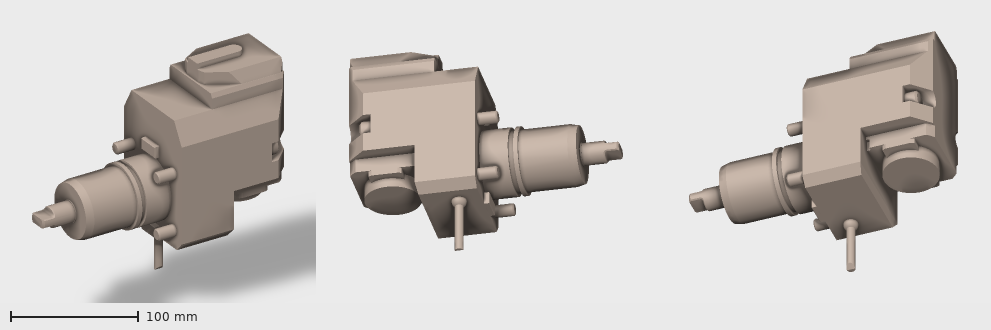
import cadquery as cq
import math


HALF_WIDTH = 42.0
BACK_Y = 104.2
TOP_Z = 71.9
SHOULDER_Z = 52.85
TOP_HALF_WIDTH = 31.0
BOTTOM_Z = -40.5
BOTTOM_CHAMFER_X = 6.8
BOTTOM_CHAMFER_Z = 7.8
BACK_CHAMFER = 14.2
FRONT_PART_DEPTH = 48.5
REAR_BOTTOM_Z = 1.0
BOTTOM_RELIEF = 1.6

SLAB_HALF_WIDTH = 29.6
SLAB_END_RADIUS = 37.8
SLAB_BOTTOM_Z = -10.5
SLAB_NOTCH_LENGTH = 3.0
SLAB_NOTCH_TOP_Z = -1.9
SLAB_NOTCH_DEPTH = 3.0

SPINDLE_Y = 75.3
NOSE_DIAMETER = 45.0
NOSE_BOTTOM_Z = -22.5
LUG_BOTTOM_Z = -15.0
LUG_RADIUS = 31.4
LUG_HALF_LENGTH = 13.4

PLATE_FRONT_Y = 35.2
PLATE_EDGE_Z = 81.5
PLATE_TOP_HALF_WIDTH = 29.1
PLATE_TOP_Z = 85.3
BLOCK_TOP_Z = 96.2
BLOCK_BOTTOM_HALF_WIDTH = 28.7
BLOCK_TOP_HALF_WIDTH = 23.6
BLOCK_FRONT_Y = 37.1
BLOCK_BACK_HALF_WIDTH = 25.3
BLOCK_NOSE_HALF_WIDTH = 8.5
BLOCK_CORNER_X = 14.0
BLOCK_CORNER_Y = 38.9
BLOCK_FLARE_ANGLE = 60.0
RIB_WIDTH = 13.0
RIB_TOP_Z = 101.1

SHANK_DIAMETER = 49.7
COLLAR_DIAMETER = 55.0
RELIEF_DIAMETER = 54.6
RELIEF_END = 2.2
COLLAR_END = 23.0
RING_START = 27.3
RING_END = 30.8
TAPER_START = 70.2
SHANK_END = 76.8
SHANK_END_DIAMETER = 46.4

TANG_DIAMETER = 18.0
TANG_EDGE_CHAMFER = 0.8
HUB_DIAMETER = 19.0
HUB_END = 77.8
TANG_SHOULDER = 96.2
TANG_TIP = 107.6
TANG_THICKNESS = 7.5
TANG_FILLET = 2.0
TANG_TIP_CHAMFER = 1.6

SCREW_X = 30.0
SCREW_Z = 25.0
SCREW_DIAMETER = 10.0
SCREW_LENGTH = 16.0
SCREW_CHAMFER = 1.0
HEAD_DIAMETER = 16.0
HEAD_LENGTH = 10.0
HEAD_CHAMFER = 1.5
POCKET_DIAMETER = 16.5
POCKET_FLOOR_Y = 84.0

KEY_WIDTH = 19.8
KEY_HEIGHT = 10.0
KEY_LENGTH = 4.5
KEY_CENTER_Z = 35.25
KEY_CHAMFER = 0.6

PIPE_X = -19.6
PIPE_Y = 17.7
PIPE_DIAMETER = 7.0
PIPE_BALL_DIAMETER = 12.0
PIPE_BALL_Z = -41.4
PIPE_END_Z = -85.9
PIPE_BEVEL = 3.8


def box(x_range, y_range, z_range):
    """Axis-aligned box between the given limits."""
    (x0, x1), (y0, y1), (z0, z1) = x_range, y_range, z_range
    return cq.Workplane("XY").box(x1 - x0, y1 - y0, z1 - z0, centered=False).translate((x0, y0, z0))


def rod(x, z, start_y, end_y, diameter):
    """Cylinder along Y from start_y to the larger end_y."""
    plane = cq.Plane(origin=(x, start_y, z), xDir=(-1, 0, 0), normal=(0, 1, 0))
    return cq.Workplane(plane).circle(diameter / 2).extrude(end_y - start_y)


def disc(radius, bottom_z, top_z):
    """Upright disc on the output spindle axis."""
    body = cq.Workplane("XY").center(0, SPINDLE_Y).circle(radius).extrude(top_z - bottom_z)
    return body.translate((0, 0, bottom_z))


def mirrored_outline(plane, right_side):
    """Closed outline symmetric about X = 0, from the points of its +X side."""
    left_side = [(-x, y) for x, y in reversed(right_side)]
    return cq.Workplane(plane).polyline(right_side + left_side).close()


def plan_envelope():
    """Plan shape shared by the housing, slab and head: back corners cut at 45 degrees."""
    outline = [
        (HALF_WIDTH, 0),
        (HALF_WIDTH, BACK_Y - BACK_CHAMFER),
        (HALF_WIDTH - BACK_CHAMFER, BACK_Y),
    ]
    return mirrored_outline("XY", outline).extrude(RIB_TOP_Z - BOTTOM_Z).translate((0, 0, BOTTOM_Z))


def housing():
    """Main body: a chamfered section along Y, stepped up under its rear part."""
    side_bottom_z = BOTTOM_Z + BOTTOM_CHAMFER_Z
    section = [
        (HALF_WIDTH - BOTTOM_CHAMFER_X, BOTTOM_Z),
        (HALF_WIDTH, side_bottom_z),
        (HALF_WIDTH, SHOULDER_Z),
        (TOP_HALF_WIDTH, TOP_Z),
    ]
    body = mirrored_outline("XZ", section).extrude(-BACK_Y)
    side_outline = [
        (0, BOTTOM_Z),
        (FRONT_PART_DEPTH - BOTTOM_RELIEF, BOTTOM_Z),
        (FRONT_PART_DEPTH, side_bottom_z),
        (FRONT_PART_DEPTH, REAR_BOTTOM_Z),
        (BACK_Y, REAR_BOTTOM_Z),
        (BACK_Y, TOP_Z),
        (0, TOP_Z),
    ]
    return body.intersect(cq.Workplane("YZ").polyline(side_outline).close().extrude(HALF_WIDTH, both=True))


def slab():
    """Plate under the housing, its back rounded about the spindle axis and its front corners notched."""
    x_range = (-SLAB_HALF_WIDTH, SLAB_HALF_WIDTH)
    z_range = (SLAB_BOTTOM_Z, REAR_BOTTOM_Z)
    body = box(x_range, (FRONT_PART_DEPTH, BACK_Y), z_range)
    end = disc(SLAB_END_RADIUS, SLAB_BOTTOM_Z, REAR_BOTTOM_Z)
    front = box(x_range, (FRONT_PART_DEPTH, SPINDLE_Y), z_range)
    body = body.intersect(end.union(front))
    inner = SLAB_HALF_WIDTH - SLAB_NOTCH_DEPTH
    notch_y = (FRONT_PART_DEPTH, FRONT_PART_DEPTH + SLAB_NOTCH_LENGTH)
    for notch_x in ((-SLAB_HALF_WIDTH, -inner), (inner, SLAB_HALF_WIDTH)):
        body = body.cut(box(notch_x, notch_y, (SLAB_BOTTOM_Z, SLAB_NOTCH_TOP_Z)))
    return body


def nose():
    """Round output nose with a lug on each side, flush with the sides of the slab."""
    bar = box(
        (-SLAB_HALF_WIDTH, SLAB_HALF_WIDTH),
        (SPINDLE_Y - LUG_HALF_LENGTH, SPINDLE_Y + LUG_HALF_LENGTH),
        (LUG_BOTTOM_Z, SLAB_BOTTOM_Z),
    )
    lugs = disc(LUG_RADIUS, LUG_BOTTOM_Z, SLAB_BOTTOM_Z).intersect(bar)
    return disc(NOSE_DIAMETER / 2, NOSE_BOTTOM_Z, SLAB_BOTTOM_Z).union(lugs)


def head():
    """Plate and slightly inset tapered block, with a rib on top."""
    plate_section = [
        (TOP_HALF_WIDTH, TOP_Z),
        (TOP_HALF_WIDTH, PLATE_EDGE_Z),
        (PLATE_TOP_HALF_WIDTH, PLATE_TOP_Z),
    ]
    plate = mirrored_outline("XZ", plate_section).extrude(PLATE_FRONT_Y - BACK_Y)
    plate = plate.translate((0, PLATE_FRONT_Y, 0))

    block_section = [(BLOCK_BOTTOM_HALF_WIDTH, PLATE_TOP_Z), (BLOCK_TOP_HALF_WIDTH, BLOCK_TOP_Z)]
    block = mirrored_outline("XZ", block_section).extrude(-BACK_Y)
    flare_length = (TOP_HALF_WIDTH - BLOCK_CORNER_X) * math.tan(math.radians(BLOCK_FLARE_ANGLE))
    back_cut = TOP_HALF_WIDTH - BLOCK_BACK_HALF_WIDTH
    block_plan = [
        (BLOCK_NOSE_HALF_WIDTH, BLOCK_FRONT_Y),
        (BLOCK_CORNER_X, BLOCK_CORNER_Y),
        (TOP_HALF_WIDTH, BLOCK_CORNER_Y + flare_length),
        (TOP_HALF_WIDTH, BACK_Y - back_cut),
        (BLOCK_BACK_HALF_WIDTH, BACK_Y),
    ]
    plan = mirrored_outline("XY", block_plan).extrude(BLOCK_TOP_Z - PLATE_TOP_Z)
    block = block.intersect(plan.translate((0, 0, PLATE_TOP_Z)))

    rib_z = (BLOCK_TOP_Z, RIB_TOP_Z)
    rib = box((-RIB_WIDTH / 2, RIB_WIDTH / 2), (BLOCK_FRONT_Y, SPINDLE_Y), rib_z)
    rib_end = disc(RIB_WIDTH / 2, BLOCK_TOP_Z, RIB_TOP_Z)
    return plate.union(block).union(rib).union(rib_end)


def shank():
    """Turned shank with a collar and a separate ring, tapered at its end."""
    collar_radius = COLLAR_DIAMETER / 2
    radius = SHANK_DIAMETER / 2
    profile = [
        (0, 0),
        (RELIEF_DIAMETER / 2, 0),
        (RELIEF_DIAMETER / 2, -RELIEF_END),
        (collar_radius, -RELIEF_END),
        (collar_radius, -COLLAR_END),
        (radius, -COLLAR_END),
        (radius, -RING_START),
        (collar_radius, -RING_START),
        (collar_radius, -RING_END),
        (radius, -RING_END),
        (radius, -TAPER_START),
        (SHANK_END_DIAMETER / 2, -SHANK_END),
        (0, -SHANK_END),
    ]
    return cq.Workplane("XY").polyline(profile).close().revolve(360, (0, 0), (0, 1))


def tang():
    """Drive shaft on a short hub, ending in a flat tongue with filleted roots and chamfered edges."""
    radius = TANG_DIAMETER / 2
    half = TANG_THICKNESS / 2
    body = rod(0, 0, -TANG_TIP, -HUB_END, TANG_DIAMETER).faces("<Y").chamfer(TANG_TIP_CHAMFER)
    body = body.union(rod(0, 0, -HUB_END, -SHANK_END, HUB_DIAMETER))
    flat = (
        cq.Workplane("YZ")
        .moveTo(-TANG_TIP, half)
        .lineTo(-TANG_SHOULDER - TANG_FILLET, half)
        .radiusArc((-TANG_SHOULDER, half + TANG_FILLET), -TANG_FILLET)
        .lineTo(-TANG_SHOULDER, radius)
        .lineTo(-TANG_TIP, radius)
        .close()
        .extrude(radius, both=True)
    )
    body = body.cut(flat).cut(flat.mirror("XY"))
    long_edges = cq.selectors.BoxSelector(
        (-radius, -TANG_TIP, -half - TANG_EDGE_CHAMFER),
        (radius, -TANG_SHOULDER - TANG_FILLET, half + TANG_EDGE_CHAMFER),
    )
    return body.edges("|Y").edges(long_edges).chamfer(TANG_EDGE_CHAMFER)


def screw_tip(x, z):
    """Chamfered screw end standing out of the mounting face."""
    return rod(x, z, -SCREW_LENGTH, 0, SCREW_DIAMETER).faces("<Y").chamfer(SCREW_CHAMFER)


def screw_pocket(side):
    """Bore for an upper screw head, open to the back and to the side of the housing."""
    bore = rod(side * SCREW_X, SCREW_Z, POCKET_FLOOR_Y, BACK_Y, POCKET_DIAMETER)
    x_range = sorted((side * SCREW_X, side * HALF_WIDTH))
    z_range = (SCREW_Z - POCKET_DIAMETER / 2, SCREW_Z + POCKET_DIAMETER / 2)
    return bore.union(box(x_range, (POCKET_FLOOR_Y, BACK_Y), z_range))


def screw_head(side):
    """Chamfered head of an upper screw, seated on the pocket floor."""
    head_end = POCKET_FLOOR_Y + HEAD_LENGTH
    body = rod(side * SCREW_X, SCREW_Z, POCKET_FLOOR_Y, head_end, HEAD_DIAMETER)
    return body.faces(">Y").chamfer(HEAD_CHAMFER)


def key(center_z):
    """Rectangular locating key with a chamfered front face."""
    body = box(
        (-KEY_WIDTH / 2, KEY_WIDTH / 2),
        (-KEY_LENGTH, 0),
        (center_z - KEY_HEIGHT / 2, center_z + KEY_HEIGHT / 2),
    )
    return body.faces("<Y").chamfer(KEY_CHAMFER)


def coolant_pipe():
    """Pipe hanging from a ball joint, its lower end beveled on the +X side."""
    radius = PIPE_DIAMETER / 2
    ball = cq.Workplane("XY").sphere(PIPE_BALL_DIAMETER / 2).translate((PIPE_X, PIPE_Y, PIPE_BALL_Z))
    pipe = cq.Workplane("XY").center(PIPE_X, PIPE_Y).circle(radius)
    pipe = pipe.extrude(PIPE_BALL_Z - PIPE_END_Z).translate((0, 0, PIPE_END_Z))
    edge_x = PIPE_X + radius
    bevel = (
        cq.Workplane("XZ")
        .polyline([(edge_x - PIPE_BEVEL, PIPE_END_Z), (edge_x, PIPE_END_Z), (edge_x, PIPE_END_Z + PIPE_BEVEL)])
        .close()
        .extrude(radius, both=True)
        .translate((0, PIPE_Y, 0))
    )
    return ball.union(pipe.cut(bevel))


result = housing().union(slab()).union(head()).intersect(plan_envelope())
for side in (-1, 1):
    result = result.cut(screw_pocket(side)).union(screw_head(side))
    for level in (-1, 1):
        result = result.union(screw_tip(side * SCREW_X, level * SCREW_Z))
for center_z in (-KEY_CENTER_Z, KEY_CENTER_Z):
    result = result.union(key(center_z))
for feature in (nose(), shank(), tang(), coolant_pipe()):
    result = result.union(feature)